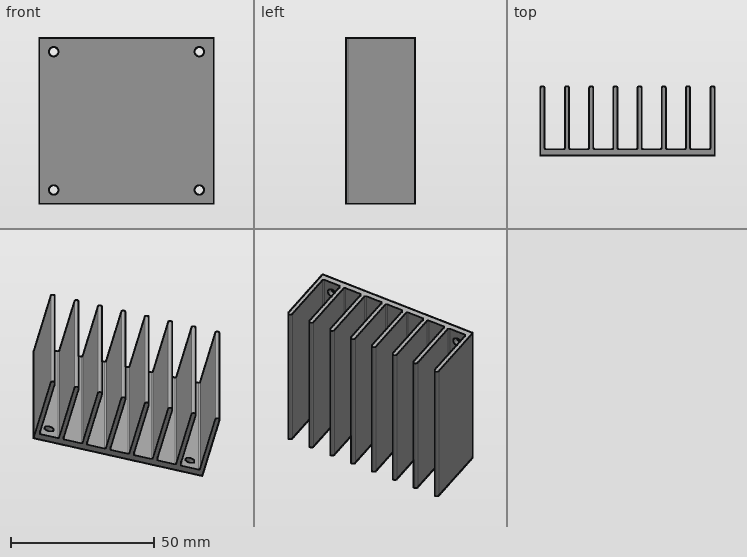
import cadquery as cq

width = 60.9
depth = 24.2
height = 57.9

base_thickness = 2.25
fin_count = 8
inner_gap = 6.9
outer_gap = 7.0
root_radius = 0.455

hole_diameter = 3.2
hole_spacing_x = 50.8
hole_spacing_z = 48.2

inner_gap_count = fin_count - 3
inner_fin_count = fin_count - 2
fin_thickness = (width - inner_gap_count * inner_gap - 2 * outer_gap) / fin_count
inner_fin_pitch = fin_thickness + inner_gap
outer_fin_center = (width - fin_thickness) / 2
tip_radius = fin_thickness / 2

bottom_z = -height / 2


def make_base():
    """Flat plate with its outer face at Y = 0, centred in X and Z."""
    return cq.Workplane("XY").box(width, base_thickness, height, centered=(True, False, True))


def make_fin(center_x):
    """Upright fin rising from the plate, with a fully rounded tip."""
    left = center_x - fin_thickness / 2
    right = center_x + fin_thickness / 2
    shoulder_y = depth - tip_radius
    return (
        cq.Workplane("XY", origin=(0, 0, bottom_z))
        .moveTo(left, base_thickness)
        .lineTo(right, base_thickness)
        .lineTo(right, shoulder_y)
        .threePointArc((center_x, depth), (left, shoulder_y))
        .close()
        .extrude(height)
    )


def round_fin_roots(body):
    """Fillet the inside corners where the fins meet the base plate."""
    tolerance = 0.05
    root_corners = cq.selectors.BoxSelector(
        (-width / 2 + tolerance, base_thickness - tolerance, -height),
        (width / 2 - tolerance, base_thickness + tolerance, height),
    )
    return body.edges("|Z").edges(root_corners).fillet(root_radius)


def cut_mounting_holes(body):
    """Cut one through hole near each corner of the base plate."""
    cutters = (
        cq.Workplane("XZ")
        .rarray(hole_spacing_x, hole_spacing_z, 2, 2)
        .circle(hole_diameter / 2)
        .extrude(-base_thickness)
    )
    return body.cut(cutters)


inner_fin_centers = [
    (index - (inner_fin_count - 1) / 2) * inner_fin_pitch
    for index in range(inner_fin_count)
]
fin_centers = [-outer_fin_center, *inner_fin_centers, outer_fin_center]

heat_sink = make_base()
for fin_center in fin_centers:
    heat_sink = heat_sink.union(make_fin(fin_center))
heat_sink = round_fin_roots(heat_sink.clean())
result = cut_mounting_holes(heat_sink)